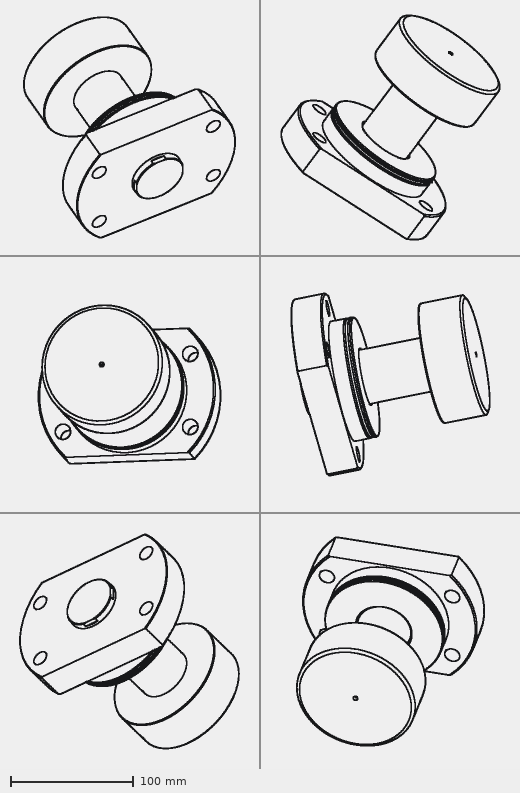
import cadquery as cq
import math


head_length = 37.0
hub_start = 93.0
flange_start = 112.0
flange_end = 138.0
rod_end = 144.0

head_radius = 50.0
head_front_chamfer_length = 1.8
head_front_chamfer_depth = 2.8
head_back_chamfer_length = 0.9
head_back_chamfer_depth = 0.5
rod_radius = 22.5
tail_radius = 22.2
rod_protrusion = 1.0
tail_taper_length = 1.2
tail_end_chamfer = 0.6
tail_flat_width = 11.8
tail_flat_count = 4

centre_mouth_radius = 1.9
centre_pilot_radius = 0.7
centre_cone_half_angle = 30.0
centre_pilot_length = 2.2

hub_radius = 50.0
hub_chamfer_length = 1.3
hub_chamfer_depth = 0.6
groove_offset = 3.0
groove_width = 2.2
groove_depth = 0.51
land_width = 1.5
land_depth = 0.1
bore_chamfer = 1.3
flange_radius = 73.5
flange_height = 104.0
flange_front_chamfer = 1.2
flange_back_chamfer = 0.6

bolt_circle_radius = 61.0
bolt_hole_diameter = 12.6
bolt_angles = (30, 150, 210, 330)


def turned(profile):
    """Solid of revolution about X from (x, radius) points."""
    return cq.Workplane("XY").polyline(profile).close().revolve(360, (0, 0, 0), (1, 0, 0))


def make_tail_flat_blocks():
    """Blocks to cut away so that equal flats are left around the tail."""
    tail_start = flange_end + rod_protrusion + tail_taper_length
    flat_distance = math.sqrt(tail_radius**2 - (tail_flat_width / 2) ** 2)
    block = (
        cq.Workplane("XY", origin=(tail_start, 0, flat_distance))
        .box(rod_end - tail_start, 2 * tail_radius, tail_radius, centered=(False, True, False))
    )
    return [
        block.rotate((0, 0, 0), (1, 0, 0), index * 360 / tail_flat_count)
        for index in range(tail_flat_count)
    ]


def make_centre_hole():
    """Countersunk centre hole with a short pilot bore."""
    cone_depth = (centre_mouth_radius - centre_pilot_radius) / math.tan(math.radians(centre_cone_half_angle))
    hole_depth = cone_depth + centre_pilot_length
    return turned([
        (0, 0),
        (0, centre_mouth_radius),
        (cone_depth, centre_pilot_radius),
        (hole_depth, centre_pilot_radius),
        (hole_depth, 0),
    ])


def make_piston():
    """Head, rod and flatted tail turned as one body."""
    taper_start = flange_end + rod_protrusion
    body = turned([
        (0, 0),
        (0, head_radius - head_front_chamfer_depth),
        (head_front_chamfer_length, head_radius),
        (head_length - head_back_chamfer_length, head_radius),
        (head_length, head_radius - head_back_chamfer_depth),
        (head_length, rod_radius),
        (taper_start, rod_radius),
        (taper_start + tail_taper_length, tail_radius),
        (rod_end - tail_end_chamfer, tail_radius),
        (rod_end, tail_radius - tail_end_chamfer),
        (rod_end, 0),
    ])
    for flat_block in make_tail_flat_blocks():
        body = body.cut(flat_block)
    return body.cut(make_centre_hole())


def make_bolt_holes():
    """Through holes on the bolt circle."""
    centres = [
        (
            bolt_circle_radius * math.cos(math.radians(angle)),
            bolt_circle_radius * math.sin(math.radians(angle)),
        )
        for angle in bolt_angles
    ]
    return (
        cq.Workplane("YZ", origin=(flange_start, 0, 0))
        .pushPoints(centres)
        .circle(bolt_hole_diameter / 2)
        .extrude(flange_end - flange_start)
    )


def make_flange():
    """Round flange with chamfered rims, trimmed to two flats, and drilled for bolts."""
    disc = turned([
        (flange_start, 0),
        (flange_start, flange_radius - flange_front_chamfer),
        (flange_start + flange_front_chamfer, flange_radius),
        (flange_end - flange_back_chamfer, flange_radius),
        (flange_end, flange_radius - flange_back_chamfer),
        (flange_end, 0),
    ])
    trim = (
        cq.Workplane("XY", origin=(flange_start, 0, 0))
        .box(flange_end - flange_start, 2 * flange_radius, flange_height, centered=(False, True, True))
    )
    return disc.intersect(trim).cut(make_bolt_holes())


def make_hub():
    """Round hub with a chamfered nose, a shallow groove and a land just under full size."""
    groove_start = hub_start + groove_offset
    groove_end = groove_start + groove_width
    land_end = groove_end + land_width
    groove_radius = hub_radius - groove_depth
    land_radius = hub_radius - land_depth
    return turned([
        (hub_start, 0),
        (hub_start, hub_radius - hub_chamfer_depth),
        (hub_start + hub_chamfer_length, hub_radius),
        (groove_start, hub_radius),
        (groove_start, groove_radius),
        (groove_end, groove_radius),
        (groove_end, land_radius),
        (land_end, land_radius),
        (land_end, hub_radius),
        (flange_start, hub_radius),
        (flange_start, 0),
    ])


def make_rod_bore():
    """Bore that fits the rod, with a chamfered mouth at the hub face."""
    return turned([
        (hub_start, 0),
        (hub_start, rod_radius + bore_chamfer),
        (hub_start + bore_chamfer, rod_radius),
        (flange_end, rod_radius),
        (flange_end, 0),
    ])


def make_gland():
    """Hub and flange in one body, bored for the rod."""
    return make_hub().union(make_flange()).cut(make_rod_bore())


piston = make_piston()
gland = make_gland()

result = cq.Compound.makeCompound([piston.val(), gland.val()])